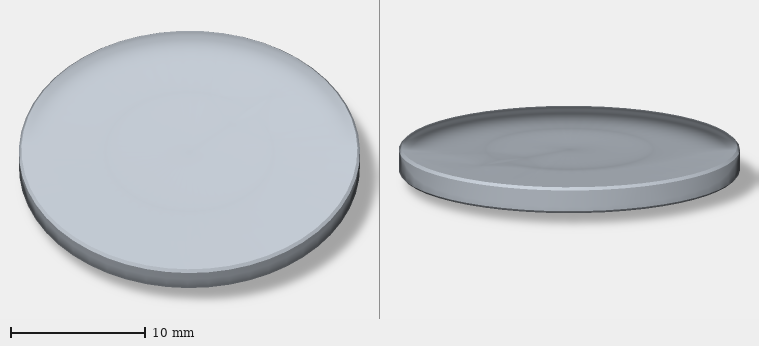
import cadquery as cq
import math

diameter = 25.4
overall_height = 2.82
convex_radius = 94.0
concave_radius = 330.0
chamfer = 0.2

outer_radius = diameter / 2
face_radius = outer_radius - chamfer
mid_radius = face_radius / 2


def sag(sphere_radius, distance):
    """Axial rise of a spherical face above its apex, at a distance from the axis."""
    return sphere_radius - math.sqrt(sphere_radius**2 - distance**2)


convex_mid = sag(convex_radius, mid_radius)
convex_rim = sag(convex_radius, face_radius)

concave_rim = overall_height
concave_apex = concave_rim - sag(concave_radius, face_radius)
concave_mid = concave_apex + sag(concave_radius, mid_radius)

half_section = (
    cq.Workplane("YZ")
    .moveTo(0, 0)
    .threePointArc((mid_radius, convex_mid), (face_radius, convex_rim))
    .lineTo(outer_radius, convex_rim + chamfer)
    .lineTo(outer_radius, concave_rim - chamfer)
    .lineTo(face_radius, concave_rim)
    .threePointArc((mid_radius, concave_mid), (0, concave_apex))
    .close()
)

result = half_section.revolve(360, (0, 0, 0), (0, 1, 0))